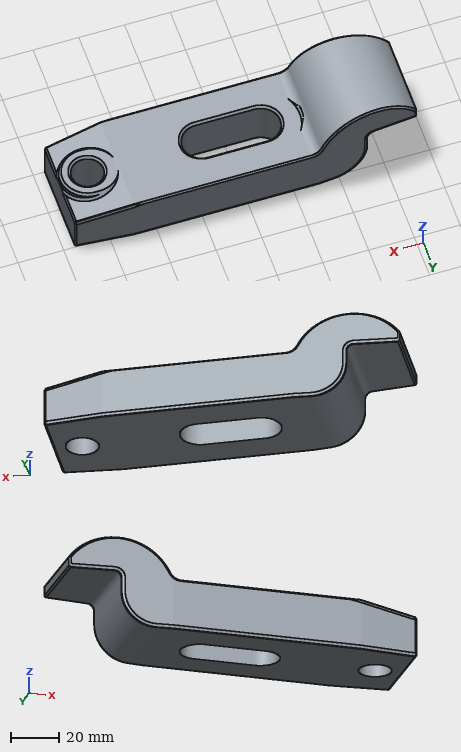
import cadquery as cq
import math

length = 150.0
width = 45.0
height = 39.0
bar_height = 22.0
edge_break = 0.8

nose_underside = 24.0
crown_radius = 25.0
crown_x = 20.2
neck_x = 22.0
neck_fillet = 3.0
heel_radius = 15.0
throat_radius = 5.0

side_taper = math.radians(5)
nose_taper_end = 44.0
tail_start = 125.0
tail_drop = math.radians(10)

slot_width = 17.0
slot_left = 53.5
slot_right = 96.5
slot_break = 1.0
seat_radius = 18.0
seat_break = 1.0

boss_x = 137.8
boss_diameter = 24.0
boss_break = 1.0
boss_flare = 1.0
flare_limit_radius = 22.5
flare_limit_fall = 0.6
bore_diameter = 14.0
bore_break = 1.0

FLANK_NORMAL_Y = 0.9
TINY = 0.02


def side_profile():
    """Hook, bar and sloped tail, extruded across the full width."""
    crown_z = height - crown_radius
    nose_top = crown_z + math.sqrt(crown_radius**2 - crown_x**2)
    throat_z = bar_height + throat_radius
    centre_gap = crown_radius + throat_radius
    throat_x = crown_x + math.sqrt(centre_gap**2 - (throat_z - crown_z) ** 2)
    crown_share = crown_radius / centre_gap
    touch_x = crown_x + crown_share * (throat_x - crown_x)
    touch_z = crown_z + crown_share * (throat_z - crown_z)
    tail_end_z = bar_height - (length - tail_start) * math.tan(tail_drop)
    diagonal = math.sqrt(0.5)
    start_angle = math.atan2(touch_z - throat_z, touch_x - throat_x)
    middle_angle = (start_angle - math.pi / 2) / 2
    throat_middle = (
        throat_x + throat_radius * math.cos(middle_angle),
        throat_z + throat_radius * math.sin(middle_angle),
    )
    heel_centre_x = neck_x + heel_radius
    heel_middle = (heel_centre_x - heel_radius * diagonal, heel_radius * (1 - diagonal))
    fillet_middle = (
        neck_x - neck_fillet * (1 - diagonal),
        nose_underside - neck_fillet * (1 - diagonal),
    )
    return (
        cq.Workplane("XZ")
        .moveTo(0, nose_underside)
        .lineTo(0, nose_top)
        .threePointArc((crown_x, height), (touch_x, touch_z))
        .threePointArc(throat_middle, (throat_x, bar_height))
        .lineTo(tail_start, bar_height)
        .lineTo(length, tail_end_z)
        .lineTo(length, 0)
        .lineTo(heel_centre_x, 0)
        .threePointArc(heel_middle, (neck_x, heel_radius))
        .lineTo(neck_x, nose_underside - neck_fillet)
        .threePointArc(fillet_middle, (neck_x - neck_fillet, nose_underside))
        .close()
        .extrude(width / 2, both=True)
    )


def plan_outline():
    """Full-height block narrowing towards the nose and the tail."""
    nose_half = width / 2 - nose_taper_end * math.tan(side_taper)
    tail_half = width / 2 - (length - tail_start) * math.tan(side_taper)
    half_outline = [
        (0, nose_half),
        (nose_taper_end, width / 2),
        (tail_start, width / 2),
        (length, tail_half),
    ]
    mirrored = [(x, -y) for x, y in reversed(half_outline)]
    return cq.Workplane("XY").polyline(half_outline + mirrored).close().extrude(height)


def flank_edges(body, x_from, x_to):
    """Edges around both flanks between two stations, without the upright taper creases."""
    picked = []
    for flank in body.faces().vals():
        if abs(flank.normalAt().y) < FLANK_NORMAL_Y:
            continue
        for edge in flank.Edges():
            station = edge.Center().x
            is_crease = min(abs(station - nose_taper_end), abs(station - tail_start)) < TINY
            if x_from < station < x_to and not is_crease:
                picked.append(edge)
    return picked


def broken_edges(body):
    """Chamfer the tail and the two end faces first, then the flanks of hook and bar."""
    tip_edge = body.edges(cq.selectors.NearestToPointSelector((0, 0, nose_underside)))
    end_edges = body.faces(">X").edges("|Y").vals() + tip_edge.vals()
    tail_edges = flank_edges(body, tail_start, length + TINY)
    body = body.newObject(tail_edges + end_edges).chamfer(edge_break)
    return body.newObject(flank_edges(body, -TINY, tail_start)).chamfer(edge_break)


def screw_boss():
    """Upright boss, level with the bar top, with a 45 degree flare where it meets the slope."""
    boss = (
        cq.Workplane("XY", origin=(boss_x, 0, bar_height / 2))
        .circle(boss_diameter / 2)
        .extrude(bar_height / 2)
        .faces(">Z")
        .chamfer(boss_break)
    )
    slope_z = bar_height - (boss_x - tail_start) * math.tan(tail_drop)
    slope_plane = cq.Plane(
        origin=(boss_x, 0, slope_z),
        xDir=(math.cos(tail_drop), 0, -math.sin(tail_drop)),
        normal=(math.sin(tail_drop), 0, math.cos(tail_drop)),
    )
    flare_radius = boss_diameter / 2 + boss_flare
    flare = cq.Workplane(slope_plane).circle(flare_radius).extrude(2 * boss_flare, taper=45)
    flare = flare.union(cq.Workplane(slope_plane).circle(flare_radius).extrude(-2 * boss_flare))
    top_radius = boss_diameter / 2 - boss_break
    limit = (
        cq.Workplane("XZ")
        .moveTo(boss_x, 0)
        .lineTo(boss_x, bar_height)
        .lineTo(boss_x + top_radius, bar_height)
        .lineTo(boss_x + flare_limit_radius, bar_height - flare_limit_fall)
        .lineTo(boss_x + flare_limit_radius, 0)
        .close()
        .revolve(360, (boss_x, 0), (boss_x, 1))
    )
    flare = flare.intersect(limit).intersect(plan_outline())
    return boss.union(flare)


def bore():
    """Through hole in the boss with a countersunk rim."""
    rim_radius = bore_diameter / 2 + bore_break
    rim = cq.Solid.makeCone(
        bore_diameter / 2, rim_radius, bore_break, pnt=cq.Vector(boss_x, 0, bar_height - bore_break)
    )
    return cq.Workplane("XY").center(boss_x, 0).circle(bore_diameter / 2).extrude(bar_height).union(rim)


def slot():
    """Through slot with a chamfered upper rim."""
    slot_length = slot_right - slot_left
    middle_x = (slot_left + slot_right) / 2
    straight = cq.Workplane("XY").center(middle_x, 0).slot2D(slot_length, slot_width).extrude(height)
    rim = (
        cq.Workplane("XY", origin=(middle_x, 0, bar_height))
        .slot2D(slot_length + 2 * slot_break, slot_width + 2 * slot_break)
        .extrude(-slot_break, taper=45)
    )
    return straight.union(rim)


def washer_seat():
    """Round clearance that carries the flat bar top into the throat arc, with a bevelled floor corner."""
    seat = cq.Workplane("XY", origin=(slot_left + slot_width / 2, 0, bar_height))
    return seat.circle(seat_radius).extrude(throat_radius).faces("<Z").chamfer(seat_break)


body = broken_edges(side_profile().intersect(plan_outline()))
body = body.cut(washer_seat())
body = body.union(screw_boss())
result = body.cut(slot()).cut(bore())